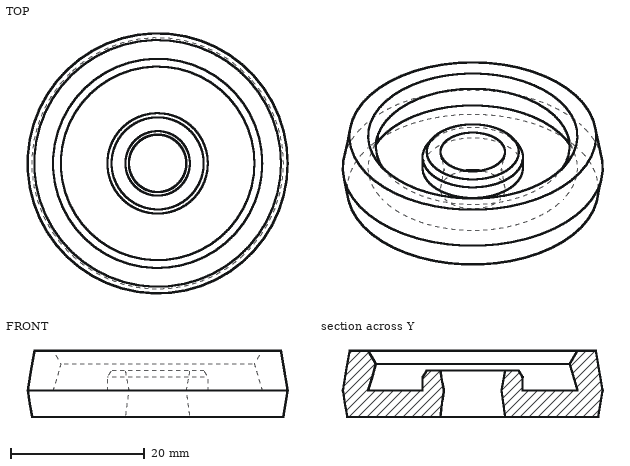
import cadquery as cq

outer_radius = 19.5
height = 10.0
web_height = 4.0
bottom_radius = 18.85
top_radius = 18.5

pocket_radius = 15.68
lip_radius = 14.5
lip_depth = 2.0

boss_radius = 7.53
boss_height = 3.0
boss_chamfer_width = 0.62
boss_chamfer_height = 1.0
bore_radius = 4.85
throat_radius = 4.3

boss_top = web_height + boss_height

profile = (
    cq.Workplane("XZ")
    .moveTo(bore_radius, 0)
    .lineTo(bottom_radius, 0)
    .lineTo(outer_radius, web_height)
    .lineTo(top_radius, height)
    .lineTo(pocket_radius, height)
    .lineTo(lip_radius, height - lip_depth)
    .lineTo(pocket_radius, web_height)
    .lineTo(boss_radius, web_height)
    .lineTo(boss_radius, boss_top - boss_chamfer_height)
    .lineTo(boss_radius - boss_chamfer_width, boss_top)
    .lineTo(bore_radius, boss_top)
    .lineTo(throat_radius, web_height)
    .close()
)

result = profile.revolve(360, (0, 0, 0), (0, 1, 0))